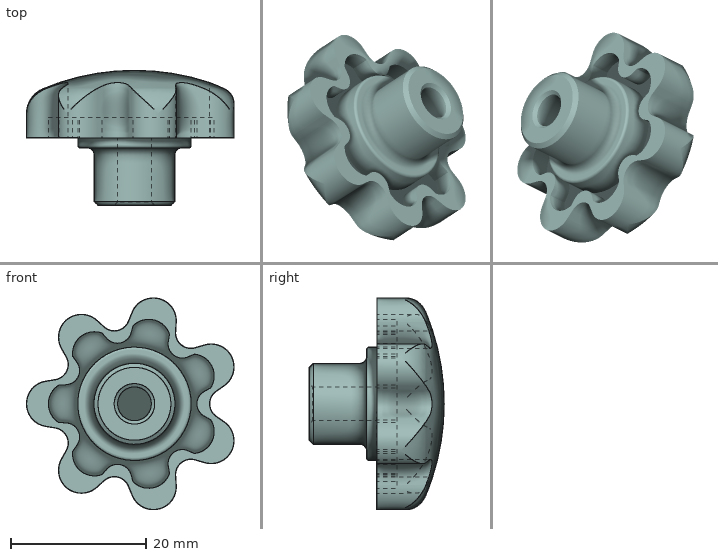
import cadquery as cq
import math


LOBE_COUNT = 7
LOBE_PITCH = 360 / LOBE_COUNT
FIRST_LOBE_ANGLE = 180
LOBE_CENTRE_RADIUS = 12.6
LOBE_RADIUS = 3.4
VALLEY_CENTRE_RADIUS = 13.4
VALLEY_RADIUS = 2.25

KNOB_RADIUS = LOBE_CENTRE_RADIUS + LOBE_RADIUS
DOME_HEIGHT = 10.0
DOME_RADIUS = 35.0
SHOULDER_RADIUS = 4.0

RECESS_DEPTH = 3.0
RECESS_LOBE_CENTRE_RADIUS = 9.5
RECESS_TIP_RADIUS = 12.75
RECESS_KINK_OFFSET = 2.77
RECESS_VALLEY_CENTRE_RADIUS = 11.35
RECESS_VALLEY_RADIUS = 2.1

FLANGE_RADIUS = 8.4
FLANGE_HEIGHT = 1.5
FLANGE_ROUND = 0.4
STEM_RADIUS = 6.0
STEM_ROOT_FILLET = 1.0
STEM_CHAMFER = 0.6
HUB_LENGTH = 10.0

BORE_RADIUS = 2.5
BORE_CHAMFER = 0.5
BORE_DEPTH = 10.0


def rotated(point, degrees):
    """Point (x, z) turned about the knob axis."""
    angle = math.radians(degrees)
    x, z = point
    return (
        x * math.cos(angle) - z * math.sin(angle),
        x * math.sin(angle) + z * math.cos(angle),
    )


def on_circle(centre, radius, angle):
    """Point on a circle at an angle in radians."""
    return (centre[0] + radius * math.cos(angle), centre[1] + radius * math.sin(angle))


def valley_centre(centre_radius):
    """Centre of the valley that follows the lobe lying on the +X axis."""
    return rotated((centre_radius, 0), LOBE_PITCH / 2)


def lobed_outline(lobe_end, lobe_tip, valley_start, valley_bottom_radius):
    """Closed star wire for a lobe on +X: lobe arc, straight flank, valley arc, straight flank."""
    lobe_start = (lobe_end[0], -lobe_end[1])
    valley_end = rotated((valley_start[0], -valley_start[1]), LOBE_PITCH)
    valley_bottom = rotated((valley_bottom_radius, 0), LOBE_PITCH / 2)
    outline = cq.Workplane("XY").moveTo(*rotated(lobe_start, FIRST_LOBE_ANGLE))
    for index in range(LOBE_COUNT):
        turn = FIRST_LOBE_ANGLE + index * LOBE_PITCH
        outline = outline.threePointArc(rotated((lobe_tip, 0), turn), rotated(lobe_end, turn))
        outline = outline.lineTo(*rotated(valley_start, turn))
        outline = outline.threePointArc(rotated(valley_bottom, turn), rotated(valley_end, turn))
        if index < LOBE_COUNT - 1:
            outline = outline.lineTo(*rotated(lobe_start, turn + LOBE_PITCH))
    return outline.close()


def upright(outline, height):
    """Prism of an outline, standing from y = 0 to y = height."""
    return outline.extrude(-height).rotate((0, 0, 0), (1, 0, 0), 90)


def star_prism():
    """Star with flanks tangent to both the lobe arcs and the valley arcs."""
    lobe_centre = (LOBE_CENTRE_RADIUS, 0)
    valley = valley_centre(VALLEY_CENTRE_RADIUS)
    dx = valley[0] - lobe_centre[0]
    dz = valley[1] - lobe_centre[1]
    centre_angle = math.atan2(dz, dx)
    normal_angle = centre_angle - math.acos((LOBE_RADIUS + VALLEY_RADIUS) / math.hypot(dx, dz))
    lobe_end = on_circle(lobe_centre, LOBE_RADIUS, normal_angle)
    valley_start = on_circle(valley, VALLEY_RADIUS, normal_angle + math.pi)
    outline = lobed_outline(
        lobe_end, KNOB_RADIUS, valley_start, VALLEY_CENTRE_RADIUS - VALLEY_RADIUS
    )
    return upright(outline, DOME_HEIGHT)


def dome():
    """Turned envelope: spherical crown blending through a round shoulder into the rim."""
    crown_centre_y = DOME_HEIGHT - DOME_RADIUS
    shoulder_x = KNOB_RADIUS - SHOULDER_RADIUS
    blend_angle = math.acos(shoulder_x / (DOME_RADIUS - SHOULDER_RADIUS))
    crown_centre = (0, crown_centre_y)
    shoulder_centre = on_circle(crown_centre, DOME_RADIUS - SHOULDER_RADIUS, blend_angle)
    crown_edge = on_circle(crown_centre, DOME_RADIUS, blend_angle)
    crown_middle = on_circle(crown_centre, DOME_RADIUS, (blend_angle + math.pi / 2) / 2)
    shoulder_middle = on_circle(shoulder_centre, SHOULDER_RADIUS, blend_angle / 2)
    return (
        cq.Workplane("XY")
        .lineTo(KNOB_RADIUS, 0)
        .lineTo(KNOB_RADIUS, shoulder_centre[1])
        .threePointArc(shoulder_middle, crown_edge)
        .threePointArc(crown_middle, (0, DOME_HEIGHT))
        .close()
        .revolve(360, (0, 0, 0), (0, 1, 0))
    )


def recess():
    """Star-shaped recess whose flanks leave the lobe arcs at a corner and run tangent into the valleys."""
    lobe_radius = RECESS_TIP_RADIUS - RECESS_LOBE_CENTRE_RADIUS
    kink_x = RECESS_LOBE_CENTRE_RADIUS + math.sqrt(lobe_radius**2 - RECESS_KINK_OFFSET**2)
    kink = (kink_x, RECESS_KINK_OFFSET)
    valley = valley_centre(RECESS_VALLEY_CENTRE_RADIUS)
    dx = kink[0] - valley[0]
    dz = kink[1] - valley[1]
    touch_angle = math.atan2(dz, dx) - math.acos(RECESS_VALLEY_RADIUS / math.hypot(dx, dz))
    valley_start = on_circle(valley, RECESS_VALLEY_RADIUS, touch_angle)
    outline = lobed_outline(
        kink,
        RECESS_TIP_RADIUS,
        valley_start,
        RECESS_VALLEY_CENTRE_RADIUS - RECESS_VALLEY_RADIUS,
    )
    return upright(outline, RECESS_DEPTH)


def hub():
    """Flange and stem turned about the knob axis, rooted on the recess floor."""
    flange_face_y = -FLANGE_HEIGHT
    fillet_end_y = flange_face_y - STEM_ROOT_FILLET
    return (
        cq.Workplane("XY")
        .moveTo(0, RECESS_DEPTH)
        .lineTo(FLANGE_RADIUS, RECESS_DEPTH)
        .lineTo(FLANGE_RADIUS, flange_face_y + FLANGE_ROUND)
        .radiusArc((FLANGE_RADIUS - FLANGE_ROUND, flange_face_y), FLANGE_ROUND)
        .lineTo(STEM_RADIUS + STEM_ROOT_FILLET, flange_face_y)
        .radiusArc((STEM_RADIUS, fillet_end_y), -STEM_ROOT_FILLET)
        .lineTo(STEM_RADIUS, -HUB_LENGTH + STEM_CHAMFER)
        .lineTo(STEM_RADIUS - STEM_CHAMFER, -HUB_LENGTH)
        .lineTo(0, -HUB_LENGTH)
        .close()
        .revolve(360, (0, 0, 0), (0, 1, 0))
    )


def bore():
    """Blind bore entering from the end of the stem, with a chamfered mouth."""
    return (
        cq.Workplane("XY")
        .moveTo(0, -HUB_LENGTH)
        .lineTo(BORE_RADIUS + BORE_CHAMFER, -HUB_LENGTH)
        .lineTo(BORE_RADIUS, -HUB_LENGTH + BORE_CHAMFER)
        .lineTo(BORE_RADIUS, -HUB_LENGTH + BORE_DEPTH)
        .lineTo(0, -HUB_LENGTH + BORE_DEPTH)
        .close()
        .revolve(360, (0, 0, 0), (0, 1, 0))
    )


head = star_prism().intersect(dome()).cut(recess())
result = head.union(hub()).cut(bore())